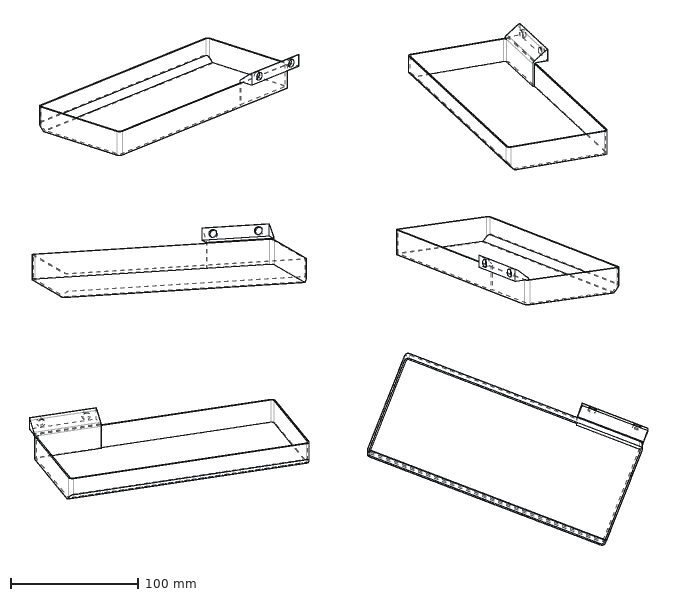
import cadquery as cq

tray_width = 86
tray_length = 200
tray_height = 20
wall = 1.2
floor = 0.8
corner_radius = 3.1
edge_chamfer = 6

total_width = 96.2
total_height = 30.5
lip_length = 55.5
lip_wall = 2.5
lip_inner_x = tray_width - lip_wall
lip_nose_width = 1.5
lip_nose_rise = 2.5
lip_top_width = 2.5
lip_top_drop = 1.2
lip_underside_gap = 0.5

pocket_diameter = 6.2
pocket_depth = 2.8
pocket_end_distance = 9.0


def rounded_block(inset, bottom):
    """Tray-shaped block, pulled in by inset at its sides and starting at height bottom."""
    block = (
        cq.Workplane("XY")
        .box(tray_width - 2 * inset, tray_length - 2 * inset, tray_height - bottom, centered=False)
        .translate((inset, inset, bottom))
        .edges("|Z")
        .fillet(corner_radius - inset)
    )
    slope_sum = edge_chamfer + bottom * 2**0.5
    cutter = (
        cq.Workplane("XZ")
        .polyline([(0, 0), (slope_sum, 0), (0, slope_sum)])
        .close()
        .extrude(-tray_length)
    )
    return block.cut(cutter)


def thick_wall():
    """Thickened stretch of the +X wall, rounded into the back wall inside the tray."""
    inner_radius = corner_radius - wall
    wall_start = tray_length - lip_length
    back_inner_y = tray_length - wall
    corner_reach = inner_radius * (1 - 0.5**0.5)
    blank = (
        cq.Workplane("XY")
        .moveTo(lip_inner_x, wall_start)
        .lineTo(lip_inner_x, back_inner_y - inner_radius)
        .threePointArc(
            (lip_inner_x - corner_reach, back_inner_y - corner_reach),
            (lip_inner_x - inner_radius, back_inner_y),
        )
        .lineTo(lip_inner_x - inner_radius, tray_length)
        .lineTo(tray_width, tray_length)
        .lineTo(tray_width, wall_start)
        .close()
        .extrude(tray_height)
    )
    return blank.intersect(rounded_block(0, 0))


def lip_wedge():
    """Wedge that rises from the thickened wall and overhangs it."""
    nose_end_x = lip_inner_x + lip_nose_width
    nose_radius = (lip_nose_width**2 + lip_nose_rise**2) / (2 * lip_nose_width)
    profile = (
        cq.Workplane("XZ", origin=(0, tray_length - lip_length, 0))
        .moveTo(lip_inner_x, tray_height)
        .radiusArc((nose_end_x, tray_height + lip_nose_rise), nose_radius)
        .lineTo(total_width - lip_top_width, total_height - lip_top_drop)
        .lineTo(total_width, total_height)
        .lineTo(total_width, tray_height + lip_underside_gap)
        .lineTo(tray_width + lip_underside_gap, tray_height + lip_underside_gap)
        .lineTo(tray_width, tray_height)
        .close()
    )
    return profile.extrude(-lip_length)


def make_pockets():
    """Pocket cutters, centred on the height of the lip's outer face."""
    face_bottom = tray_height + lip_underside_gap
    pocket_z = (face_bottom + total_height) / 2
    lip_centre_y = tray_length - lip_length / 2
    pocket_spacing = lip_length - 2 * pocket_end_distance
    return (
        cq.Workplane("YZ", origin=(total_width, lip_centre_y, pocket_z))
        .rarray(pocket_spacing, 2, 2, 1)
        .circle(pocket_diameter / 2)
        .extrude(-pocket_depth)
    )


tray = rounded_block(0, 0).cut(rounded_block(wall, floor))
result = tray.union(thick_wall()).union(lip_wedge()).cut(make_pockets())